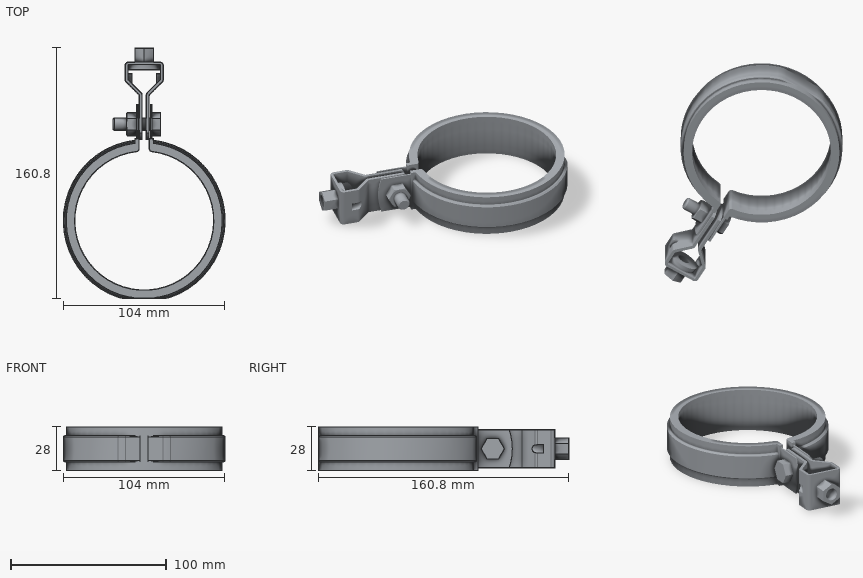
import cadquery as cq
import math


overall_length = 160.8

liner_outer_radius = 50.0
liner_inner_radius = 44.5
liner_width = 28.0
lip_inner_x = 3.2
lip_outer_x = 6.0
lip_top_y = 52.6
lip_fillet = 2.0
band_cover = 1.0

sheet_width = 24.6
strap_thickness = 1.0
flange_inner_x = (lip_inner_x + lip_outer_x - strap_thickness) / 2
flange_outer_x = flange_inner_x + strap_thickness
flange_top_y = 74.5
flange_end_radius = 38.6
band_outer_radius = liner_outer_radius - band_cover
band_inner_radius = band_outer_radius - strap_thickness
bead_outer_radius = 52.0
bead_crest_half_width = 7.5
bead_chamfer = 1.0
bead_bend_radius = 15.0
bead_end_x = 2.5

bolt_y = 62.0
bolt_diameter = 8.0
bolt_tip_diameter = 6.6
bolt_tip_length = 1.0
bolt_end_x = 20.1
bolt_hole_diameter = 8.5
bolt_hex_corner_diameter = 15.0
bolt_head_height = 5.5
nut_height = 6.3
nut_chamfer_diameter = 13.0
nut_chamfer_height = 0.5

bracket_thickness = 2.0
bracket_width = 24.6
bracket_half_width = bracket_width / 2
bracket_top_y = 101.8
roof_thickness = 1.6
roof_y = bracket_top_y - roof_thickness
roof_outer_radius = 2.4
roof_inner_radius = 0.6
shoulder_y = 89.8
leg_outer_x = lip_inner_x
leg_bottom_y = 52.1
leg_end_radius = 20.0
outside_bend_radius = 2.3
inside_bend_radius = outside_bend_radius - bracket_thickness
waist_bend_radius = 0.8

rib_start_y = 94.4
rib_radius = 4.5
rib_groove_radius = 2.5

socket_end_y = overall_length - liner_outer_radius
socket_across_flats = 12.0
socket_neck_diameter = 10.5
socket_flange_diameter = 20.0
socket_flange_thickness = 3.4
socket_bore_diameter = 8.0
socket_flange_end_y = roof_y - socket_flange_thickness

bead_flat_y = -math.sqrt(liner_outer_radius**2 - bead_end_x**2)
bend_center_y = bead_flat_y + bead_bend_radius
bend_center_distance = bead_outer_radius - bead_bend_radius
bend_angle = math.acos(-bend_center_y / bend_center_distance)
bead_bend_x = bend_center_distance * math.sin(bend_angle)


def centered_box(x_size, y_start, y_end, z_size):
    """Box centered on X and Z that spans y_start to y_end."""
    return cq.Workplane("XY").box(x_size, y_end - y_start, z_size).translate((0, (y_start + y_end) / 2, 0))


def cylinder_along_x(x_start, x_end, diameter, y):
    return cq.Workplane("YZ", origin=(x_start, y, 0)).circle(diameter / 2).extrude(x_end - x_start)


def cylinder_along_y(y_start, y_end, diameter, x=0):
    return cq.Workplane("XZ", origin=(x, y_start, 0)).circle(diameter / 2).extrude(y_start - y_end)


def round_ended_plate(tip_y, end_radius, points_up):
    """Slab along X with the sheet width, ended in Y by a shallow arc whose tip is at tip_y."""
    sense = 1 if points_up else -1
    half_width = sheet_width / 2
    arc_rise = end_radius - math.sqrt(end_radius**2 - half_width**2)
    shoulder = tip_y - sense * arc_rise
    far_end = tip_y - sense * 2 * bracket_top_y
    return (
        cq.Workplane("YZ")
        .moveTo(far_end, -half_width)
        .lineTo(shoulder, -half_width)
        .threePointArc((tip_y, 0), (shoulder, half_width))
        .lineTo(far_end, half_width)
        .close()
        .extrude(2 * bracket_half_width, both=True)
    )


def ring(outer_radius, inner_radius, width):
    return cq.Workplane("XY").circle(outer_radius).circle(inner_radius).extrude(width / 2, both=True)


def make_bead():
    """Raised stiffening bead, open at the flanges and flattened opposite to them."""
    tangent_x = bead_outer_radius * math.sin(bend_angle)
    tangent_y = -bead_outer_radius * math.cos(bend_angle)
    middle_x = bead_bend_x + bead_bend_radius * math.sin(bend_angle / 2)
    middle_y = bend_center_y - bead_bend_radius * math.cos(bend_angle / 2)

    def outline(z):
        return (
            cq.Workplane("XY", origin=(0, 0, z))
            .moveTo(-bead_bend_x, bead_flat_y)
            .lineTo(bead_bend_x, bead_flat_y)
            .threePointArc((middle_x, middle_y), (tangent_x, tangent_y))
            .threePointArc((0, bead_outer_radius), (-tangent_x, tangent_y))
            .threePointArc((-middle_x, middle_y), (-bead_bend_x, bead_flat_y))
            .close()
        )

    bead = outline(-bead_crest_half_width).extrude(2 * bead_crest_half_width)
    upper_rim = outline(bead_crest_half_width).extrude(bead_chamfer, taper=45)
    bead = bead.union(upper_rim).union(upper_rim.mirror("XY"))
    bead = bead.intersect(ring(2 * bead_outer_radius, band_inner_radius, liner_width))
    bead = bead.cut(centered_box(2 * lip_outer_x, 0, bead_outer_radius, liner_width))
    return bead.cut(centered_box(2 * bead_end_x, -bead_outer_radius, 0, liner_width))


def make_strap():
    band = ring(band_outer_radius, band_inner_radius, sheet_width)
    band = band.cut(centered_box(2 * flange_inner_x, 0, liner_outer_radius, liner_width))
    strap = band.union(make_bead())
    flange_bottom_y = math.sqrt(band_inner_radius**2 - flange_inner_x**2)
    flanges = centered_box(2 * flange_outer_x, flange_bottom_y, flange_top_y, sheet_width)
    flanges = flanges.cut(centered_box(2 * flange_inner_x, 0, flange_top_y, sheet_width))
    flanges = flanges.intersect(round_ended_plate(flange_top_y, flange_end_radius, True))
    strap = strap.union(flanges)
    return strap.cut(cylinder_along_x(-bolt_end_x, bolt_end_x, bolt_hole_diameter, bolt_y))


def make_liner(strap):
    """Liner moulded around the strap, with a lip at each side of the gap."""
    liner = ring(liner_outer_radius, liner_inner_radius, liner_width)
    lip_base_y = (liner_inner_radius + liner_outer_radius) / 2
    liner = liner.union(centered_box(2 * lip_outer_x, lip_base_y, lip_top_y, liner_width))
    liner = liner.cut(centered_box(2 * lip_inner_x, 0, lip_top_y, liner_width))
    corner_y = math.sqrt(liner_inner_radius**2 - lip_inner_x**2)
    corners = cq.selectors.BoxSelector(
        (-lip_outer_x, corner_y - lip_fillet, -liner_width),
        (lip_outer_x, corner_y + lip_fillet, liner_width),
    )
    return liner.edges("|Z").edges(corners).fillet(lip_fillet).cut(strap)


def fillet_at(solid, x, y, radius):
    """Round the Z edges at (x, y) and at its mirror image (-x, y)."""
    for side in (-1, 1):
        edge = solid.edges("|Z").edges(cq.selectors.NearestToPointSelector((side * x, y, 0)))
        solid = edge.fillet(radius)
    return solid


def socket_seat():
    """Stepped cylinder of the socket's neck and flange, filled by the socket within the bracket."""
    neck = cylinder_along_y(roof_y, bracket_top_y, socket_neck_diameter)
    flange = cylinder_along_y(socket_flange_end_y, roof_y, socket_flange_diameter)
    return neck.union(flange)


def make_bracket():
    thickness = bracket_thickness
    bend_shift = thickness * math.tan(math.pi / 8)
    waist_y = shoulder_y - (bracket_half_width - leg_outer_x)
    inner_half_width = bracket_half_width - thickness
    leg_inner_x = leg_outer_x - thickness

    def filled_outline(half_width, top_y, bend_y, neck_x, neck_y):
        return (
            cq.Workplane("XY")
            .moveTo(-neck_x, leg_bottom_y)
            .lineTo(-neck_x, neck_y)
            .lineTo(-half_width, bend_y)
            .lineTo(-half_width, top_y)
            .lineTo(half_width, top_y)
            .lineTo(half_width, bend_y)
            .lineTo(neck_x, neck_y)
            .lineTo(neck_x, leg_bottom_y)
            .close()
            .extrude(sheet_width / 2, both=True)
        )

    outside = filled_outline(bracket_half_width, bracket_top_y, shoulder_y, leg_outer_x, waist_y)
    outside = fillet_at(outside, bracket_half_width, bracket_top_y, roof_outer_radius)
    outside = fillet_at(outside, bracket_half_width, shoulder_y, outside_bend_radius)
    outside = fillet_at(outside, leg_outer_x, waist_y, waist_bend_radius)

    inner_bend_y = shoulder_y + bend_shift
    inner_waist_y = waist_y + bend_shift
    inside = filled_outline(inner_half_width, roof_y, inner_bend_y, leg_inner_x, inner_waist_y)
    inside = fillet_at(inside, inner_half_width, roof_y, roof_inner_radius)
    inside = fillet_at(inside, inner_half_width, inner_bend_y, inside_bend_radius)
    inside = fillet_at(inside, leg_inner_x, inner_waist_y, waist_bend_radius + thickness)

    bracket = outside.cut(inside)
    for side in (-1, 1):
        wall_x = side * bracket_half_width
        rib = cylinder_along_y(waist_y, rib_start_y, 2 * rib_radius, wall_x).intersect(outside)
        groove = cylinder_along_y(waist_y, rib_start_y, 2 * rib_groove_radius, wall_x)
        bracket = bracket.union(rib).cut(groove)

    bracket = bracket.intersect(round_ended_plate(leg_bottom_y, leg_end_radius, False))
    bracket = bracket.cut(cylinder_along_x(-bolt_end_x, bolt_end_x, bolt_hole_diameter, bolt_y))
    return bracket.cut(socket_seat())


def make_socket():
    """Hexagonal threaded socket whose neck passes the bracket roof to a round flange inside."""
    corner_diameter = socket_across_flats / math.cos(math.pi / 6)
    hexagon = (
        cq.Workplane("XZ", origin=(0, bracket_top_y, 0))
        .transformed(rotate=(0, 0, 90))
        .polygon(6, corner_diameter)
        .extrude(bracket_top_y - socket_end_y)
    )
    bore = cylinder_along_y(socket_flange_end_y, socket_end_y, socket_bore_diameter)
    return hexagon.union(socket_seat()).cut(bore)


def bolt_hexagon(x_start, height):
    return (
        cq.Workplane("YZ", origin=(x_start, bolt_y, 0))
        .polygon(6, bolt_hex_corner_diameter)
        .extrude(height)
    )


def make_bolt():
    tip_base_x = bolt_tip_length - bolt_end_x
    shank = cylinder_along_x(tip_base_x, flange_outer_x, bolt_diameter, bolt_y)
    tip = (
        cq.Workplane("YZ", origin=(tip_base_x, bolt_y, 0))
        .circle(bolt_diameter / 2)
        .workplane(offset=-bolt_tip_length)
        .circle(bolt_tip_diameter / 2)
        .loft()
    )
    return bolt_hexagon(flange_outer_x, bolt_head_height).union(shank).union(tip)


def make_nut():
    """Hexagon nut with its outer corners turned off by a cone."""
    face_x = -flange_outer_x - nut_height
    cone_growth = (bolt_hex_corner_diameter - nut_chamfer_diameter) / 2
    cone = (
        cq.Workplane("YZ", origin=(face_x, bolt_y, 0))
        .circle(nut_chamfer_diameter / 2)
        .workplane(offset=nut_chamfer_height)
        .circle(nut_chamfer_diameter / 2 + cone_growth)
        .loft()
    )
    body = cylinder_along_x(
        face_x + nut_chamfer_height, -flange_outer_x, bolt_hex_corner_diameter, bolt_y
    )
    nut = bolt_hexagon(face_x, nut_height).intersect(cone.union(body))
    return nut.cut(cylinder_along_x(face_x, -flange_outer_x, bolt_diameter, bolt_y))


strap = make_strap()
liner = make_liner(strap)
bracket = make_bracket()
socket = make_socket()
bolt = make_bolt()
nut = make_nut()

bodies = [liner, strap, bracket, socket, bolt, nut]
result = cq.Compound.makeCompound([body.solids().val() for body in bodies])